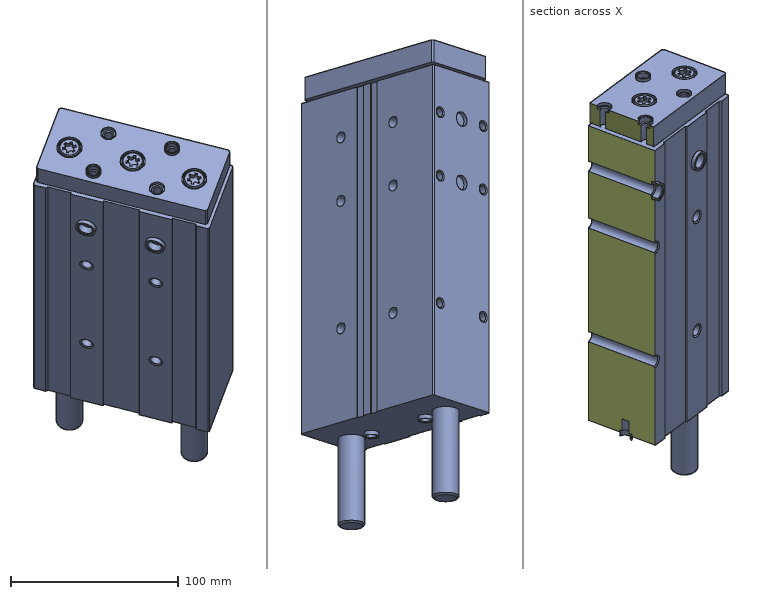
import cadquery as cq
import math


HOUSING_WIDTH = 110.0
HOUSING_DEPTH = 48.9
HOUSING_HEIGHT = 207.5
HOUSING_CHAMFER = 0.8
CHANNEL_DEPTH = 1.0
SIDE_CHANNEL_INNER = 31.7
SIDE_CHANNEL_OUTER = 46.0
CENTRE_CHANNEL_HALF = 11.2
BACK_GROOVE_WIDTH = 16.8
BACK_RIB_WIDTH = 5.5
BACK_GROOVE_DEPTH = 0.8

ROW_DROPS = (28.6, 68.5, 148.5)
FRONT_HOLE_X = 21.5
FRONT_HOLE_DIAMETER = 6.7
FRONT_COUNTERSINK_DIAMETER = 8.7
SIDE_HOLE_Y = 18.5
SIDE_HOLE_DIAMETER = 5.0
SIDE_COUNTERSINK_DIAMETER = 6.7
SIDE_HOLE_DEPTH = 9.8
DRILL_POINT_ANGLE = 118
COUNTERSINK_ANGLE = 120
PORT_DIAMETER = 9.0
PORT_DEPTH = 2.5

PLATE_WIDTH = 107.0
PLATE_DEPTH = 47.0
PLATE_THICKNESS = 14.0
PLATE_GAP = 2.2
PLATE_CHAMFER = 1.0

ROD_DIAMETER = 16.0
ROD_X = 39.0
ROD_Y = -2.8
ROD_OVERHANG = 55.0
ROD_CHAMFER = 1.0
PISTON_ROD_DIAMETER = 9.8
PISTON_ROD_Y = -1.0
PISTON_ROD_INSERTION = 56.2

SCREW_GROOVE_DIAMETER = 15.0
SCREW_GROOVE_DEPTH = 1.7
SCREW_HEAD_DIAMETER = 13.0
SCREW_HEAD_CHAMFER = 0.7
SOCKET_TIP_DIAMETER = 8.1
SOCKET_LOBES = 6
SOCKET_FLUTE_DIAMETER = 2.8
SOCKET_DEPTH = 2.8

SMALL_SLEEVE_DIAMETER = 9.0
SMALL_SLEEVE_BORE = 6.7
SMALL_SLEEVE_LENGTH = 4.0
SMALL_HOLE_COUNTERSINK_DIAMETER = 6.7
SMALL_HOLE_DIAMETER = 5.0
PLATE_SLEEVE_OVERHANG = 2.0
PLATE_HOLE_X = 20.0
PLATE_HOLE_SPACING_Y = 30.0
BOTTOM_SLEEVE_OVERHANG = 2.5
BOTTOM_SLEEVE_X = 22.5
BOTTOM_HOLE_DEPTH = 9.8

LARGE_SLEEVE_DIAMETER = 12.0
LARGE_SLEEVE_BORE = 8.7
LARGE_SLEEVE_LENGTH = 5.0
LARGE_SLEEVE_OVERHANG = 2.5

SLEEVE_MOUTH_CHAMFER = 0.5

FRONT_Y = -HOUSING_DEPTH / 2
BACK_Y = HOUSING_DEPTH / 2
SIDE_X = -HOUSING_WIDTH / 2
PLATE_BOTTOM = HOUSING_HEIGHT + PLATE_GAP
PLATE_TOP = PLATE_BOTTOM + PLATE_THICKNESS
ROW_ZS = [HOUSING_HEIGHT - drop for drop in ROW_DROPS]
SLEEVE_ROW_Z = ROW_ZS[0]
SIGNS = (-1, 1)

UP = cq.Vector(0, 0, 1)
DOWN = cq.Vector(0, 0, -1)
INTO_FRONT = cq.Vector(0, 1, 0)
INTO_SIDE = cq.Vector(1, 0, 0)


def cylinder(diameter, length, start, direction):
    return cq.Workplane(cq.Solid.makeCylinder(diameter / 2, length, cq.Vector(*start), direction))


def countersink(mouth_diameter, hole_diameter, start, direction):
    """Cone that opens a hole from hole_diameter to mouth_diameter."""
    mouth = mouth_diameter / 2
    neck = hole_diameter / 2
    depth = (mouth - neck) / math.tan(math.radians(COUNTERSINK_ANGLE / 2))
    return cq.Workplane(cq.Solid.makeCone(mouth, neck, depth, cq.Vector(*start), direction))


def drilled_hole(diameter, depth, start, direction):
    """Blind hole that ends in a drill point."""
    radius = diameter / 2
    tip_length = radius / math.tan(math.radians(DRILL_POINT_ANGLE / 2))
    tip_start = cq.Vector(*start) + direction * depth
    tip = cq.Workplane(cq.Solid.makeCone(radius, 0, tip_length, tip_start, direction))
    return cylinder(diameter, depth, start, direction).union(tip)


def sleeve_seat(diameter, depth, hole, start, direction):
    """Round recess for a sleeve and, from its floor, a countersunk hole of (mouth, diameter, depth)."""
    mouth_diameter, hole_diameter, hole_depth = hole
    floor = (cq.Vector(*start) + direction * depth).toTuple()
    seat = cylinder(diameter, depth, start, direction)
    seat = seat.union(cylinder(hole_diameter, hole_depth - depth, floor, direction))
    return seat.union(countersink(mouth_diameter, hole_diameter, floor, direction))


def small_sleeve_seat(overhang, hole_depth, start, direction):
    hole = (SMALL_HOLE_COUNTERSINK_DIAMETER, SMALL_HOLE_DIAMETER, hole_depth)
    return sleeve_seat(SMALL_SLEEVE_DIAMETER, SMALL_SLEEVE_LENGTH - overhang, hole, start, direction)


def plate_hole_place(x_sign, y_sign):
    y = PISTON_ROD_Y + y_sign * PLATE_HOLE_SPACING_Y / 2
    return (x_sign * PLATE_HOLE_X, y, PLATE_TOP)


def sleeve_places_on_plate():
    """Only two diagonally opposite holes of the plate hold a sleeve."""
    return [plate_hole_place(sign, sign) for sign in SIGNS]


def sleeve_places_on_bottom():
    return [(side * BOTTOM_SLEEVE_X, ROD_Y, 0) for side in SIGNS]


def sleeve_places_on_front():
    return [(side * FRONT_HOLE_X, FRONT_Y, SLEEVE_ROW_Z) for side in SIGNS]


def screw_places():
    guide_screws = [(side * ROD_X, ROD_Y, PLATE_TOP) for side in SIGNS]
    return guide_screws + [(0, PISTON_ROD_Y, PLATE_TOP)]


def make_guide_rod(side):
    start = (side * ROD_X, ROD_Y, PLATE_BOTTOM)
    rod = cylinder(ROD_DIAMETER, PLATE_BOTTOM + ROD_OVERHANG, start, DOWN)
    return rod.faces("<Z").chamfer(ROD_CHAMFER)


def piston_rod():
    length = PLATE_GAP + PISTON_ROD_INSERTION
    return cylinder(PISTON_ROD_DIAMETER, length, (0, PISTON_ROD_Y, PLATE_BOTTOM), DOWN)



def housing_block():
    block = cq.Workplane().box(HOUSING_WIDTH, HOUSING_DEPTH, HOUSING_HEIGHT, centered=(True, True, False))
    return block.edges("|Z").chamfer(HOUSING_CHAMFER)


def upright_groove(left, right, depth, face_y):
    """Shallow groove over the full height, centred on a face at face_y."""
    groove = cq.Workplane().box(right - left, 2 * depth, HOUSING_HEIGHT, centered=(False, True, False))
    return groove.translate((left, face_y, 0))


def front_side_channel():
    """Right-hand front channel, with a square inner wall and a 45 degree outer wall."""
    floor_y = FRONT_Y + CHANNEL_DEPTH
    outline = [
        (SIDE_CHANNEL_INNER, FRONT_Y),
        (SIDE_CHANNEL_INNER, floor_y),
        (SIDE_CHANNEL_OUTER, floor_y),
        (SIDE_CHANNEL_OUTER + CHANNEL_DEPTH, FRONT_Y),
    ]
    return cq.Workplane().polyline(outline).close().extrude(HOUSING_HEIGHT)


def cut_profile_grooves(body):
    channel = front_side_channel()
    body = body.cut(channel).cut(channel.mirror("YZ"))
    body = body.cut(upright_groove(-CENTRE_CHANNEL_HALF, CENTRE_CHANNEL_HALF, CHANNEL_DEPTH, FRONT_Y))
    for inner, outer in ((-BACK_GROOVE_WIDTH, -BACK_RIB_WIDTH), (BACK_RIB_WIDTH, BACK_GROOVE_WIDTH)):
        body = body.cut(upright_groove(inner / 2, outer / 2, BACK_GROOVE_DEPTH, BACK_Y))
    return body


def cut_front_holes(body):
    for place in sleeve_places_on_front():
        depth = LARGE_SLEEVE_LENGTH - LARGE_SLEEVE_OVERHANG
        hole = (FRONT_COUNTERSINK_DIAMETER, FRONT_HOLE_DIAMETER, HOUSING_DEPTH)
        body = body.cut(sleeve_seat(LARGE_SLEEVE_DIAMETER, depth, hole, place, INTO_FRONT))
    for side in SIGNS:
        for z in ROW_ZS[1:]:
            start = (side * FRONT_HOLE_X, FRONT_Y, z)
            body = body.cut(cylinder(FRONT_HOLE_DIAMETER, HOUSING_DEPTH, start, INTO_FRONT))
            body = body.cut(countersink(FRONT_COUNTERSINK_DIAMETER, FRONT_HOLE_DIAMETER, start, INTO_FRONT))
    return body


def cut_side_holes(body):
    for y in (-SIDE_HOLE_Y, SIDE_HOLE_Y):
        for z in ROW_ZS:
            start = (SIDE_X, y, z)
            body = body.cut(drilled_hole(SIDE_HOLE_DIAMETER, SIDE_HOLE_DEPTH, start, INTO_SIDE))
            body = body.cut(countersink(SIDE_COUNTERSINK_DIAMETER, SIDE_HOLE_DIAMETER, start, INTO_SIDE))
    for z in ROW_ZS[:2]:
        body = body.cut(cylinder(PORT_DIAMETER, PORT_DEPTH, (SIDE_X, 0, z), INTO_SIDE))
    return body


def cut_bottom_holes(body):
    for place in sleeve_places_on_bottom():
        body = body.cut(small_sleeve_seat(BOTTOM_SLEEVE_OVERHANG, BOTTOM_HOLE_DEPTH, place, UP))
    return body


def make_housing():
    body = cut_profile_grooves(housing_block())
    body = cut_front_holes(body)
    body = cut_side_holes(body)
    body = cut_bottom_holes(body)
    for side in SIGNS:
        body = body.cut(cylinder(ROD_DIAMETER, HOUSING_HEIGHT, (side * ROD_X, ROD_Y, 0), UP))
    return body.cut(piston_rod())



def yoke_plate():
    plate = cq.Workplane().box(PLATE_WIDTH, PLATE_DEPTH, PLATE_THICKNESS, centered=(True, True, False))
    return plate.edges("|Z").chamfer(PLATE_CHAMFER).translate((0, 0, PLATE_BOTTOM))


def star_socket():
    """Six-lobed socket: a round pocket with round flutes standing in between its lobes."""
    tip_radius = SOCKET_TIP_DIAMETER / 2
    flutes = (
        cq.Workplane()
        .polarArray(tip_radius, 0, 360, SOCKET_LOBES)
        .circle(SOCKET_FLUTE_DIAMETER / 2)
        .extrude(-SOCKET_DEPTH)
    )
    return cq.Workplane().circle(tip_radius).extrude(-SOCKET_DEPTH).cut(flutes)


def screw_recess():
    """Everything that is cut away around and inside one screw head, with its top at Z = 0."""
    head = cq.Workplane().circle(SCREW_HEAD_DIAMETER / 2).extrude(-SCREW_GROOVE_DEPTH)
    head = head.faces(">Z").edges().chamfer(SCREW_HEAD_CHAMFER)
    groove = cq.Workplane().circle(SCREW_GROOVE_DIAMETER / 2).extrude(-SCREW_GROOVE_DEPTH)
    return groove.cut(head).union(star_socket())


def make_yoke():
    yoke = yoke_plate().union(piston_rod())
    recess = screw_recess()
    for place in screw_places():
        yoke = yoke.cut(recess.translate(place))
    for x_sign in SIGNS:
        for y_sign in SIGNS:
            place = plate_hole_place(x_sign, y_sign)
            yoke = yoke.cut(small_sleeve_seat(PLATE_SLEEVE_OVERHANG, PLATE_THICKNESS, place, DOWN))
    return yoke



def make_sleeve(diameter, bore, length, overhang, place, inward):
    """Ring that stands out of a face by overhang, with a 45 degree chamfer at the mouth of its bore."""
    start = cq.Vector(*place) - inward * overhang
    mouth_start = start.toTuple()
    mouth = cq.Solid.makeCone(
        bore / 2 + SLEEVE_MOUTH_CHAMFER, bore / 2, SLEEVE_MOUTH_CHAMFER, start, inward
    )
    ring = cylinder(diameter, length, mouth_start, inward)
    return ring.cut(cylinder(bore, length, mouth_start, inward)).cut(cq.Workplane(mouth))


def make_small_sleeve(place, inward, overhang):
    return make_sleeve(
        SMALL_SLEEVE_DIAMETER, SMALL_SLEEVE_BORE, SMALL_SLEEVE_LENGTH, overhang, place, inward
    )


def make_large_sleeve(place):
    return make_sleeve(
        LARGE_SLEEVE_DIAMETER,
        LARGE_SLEEVE_BORE,
        LARGE_SLEEVE_LENGTH,
        LARGE_SLEEVE_OVERHANG,
        place,
        INTO_FRONT,
    )


housing = make_housing()
yoke = make_yoke()
guide_rods = [make_guide_rod(side) for side in SIGNS]
plate_sleeves = [make_small_sleeve(place, DOWN, PLATE_SLEEVE_OVERHANG) for place in sleeve_places_on_plate()]
bottom_sleeves = [make_small_sleeve(place, UP, BOTTOM_SLEEVE_OVERHANG) for place in sleeve_places_on_bottom()]
front_sleeves = [make_large_sleeve(place) for place in sleeve_places_on_front()]

bodies = [housing, yoke, *guide_rods, *plate_sleeves, *bottom_sleeves, *front_sleeves]
result = cq.Compound.makeCompound([body.val() for body in bodies])